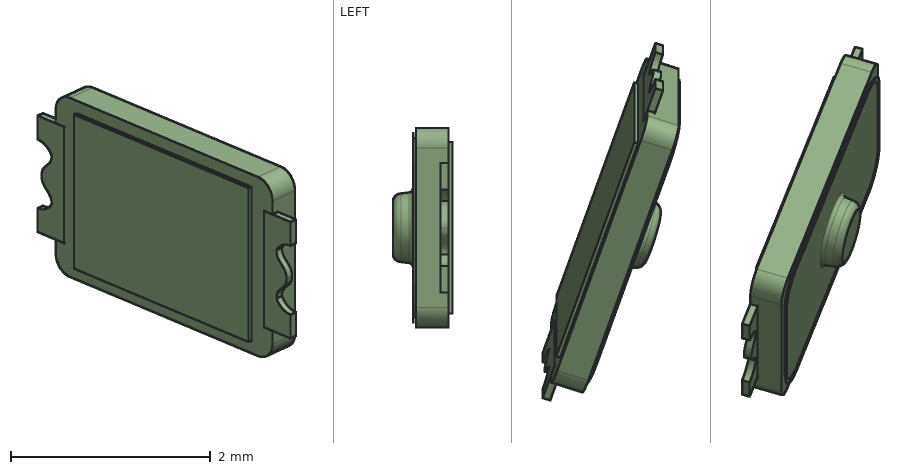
import cadquery as cq
import math

HOUSING_LENGTH = 3.0
HOUSING_HEIGHT = 2.0
HOUSING_DEPTH = 0.33
HOUSING_CORNER = 0.2

PLATE_LENGTH = 2.42
PLATE_HEIGHT = 1.72
PLATE_THICKNESS = 0.04

OVERALL_LENGTH = 3.5
TERMINAL_LENGTH = 0.37
TERMINAL_HEIGHT = 1.3
TERMINAL_THICKNESS = 0.08

NOTCH_OPENING_HEIGHT = 0.385
NOTCH_CURVE_DEPTH = 0.12
NOTCH_CURVE_HEIGHT = 0.35
NOTCH_DEPTH = 0.195
NOTCH_HEIGHT = 0.27
TONGUE_DEPTH = 0.055

COVER_THICKNESS = 0.03
FILM_THICKNESS = 0.005
SPACER_THICKNESS = COVER_THICKNESS - FILM_THICKNESS
SPACER_LENGTH = 2.8
SPACER_HEIGHT = 1.8
SPACER_CORNER = 0.3
FILM_OVERHANG = 0.05

BUTTON_HEIGHT = 0.2
BUTTON_FOOT_FILLET = 0.04
BUTTON_LOWER_RADIUS = 0.355
BUTTON_UPPER_RADIUS = 0.345
BUTTON_RIM_HEIGHT = 0.08
BUTTON_TOP_RADIUS = 0.28


def rounded_slab(length, height, corner, front, thickness):
    """Slab centred on the Y axis with rounded corners, reaching from `front` toward +Y."""
    slab = cq.Workplane("XZ", origin=(0, front, 0)).rect(length, height).extrude(-thickness)
    return slab.edges("|Y").fillet(corner)


def terminal_blank(side):
    """Plain terminal tab at the end given by `side`: -1 for -X, +1 for +X."""
    center_x = side * (OVERALL_LENGTH - TERMINAL_LENGTH) / 2
    blank = cq.Workplane("XZ", origin=(center_x, 0, 0)).rect(TERMINAL_LENGTH, TERMINAL_HEIGHT)
    return blank.extrude(-TERMINAL_THICKNESS)


def make_terminal(side):
    """Terminal tab with its outer edge scalloped into two notches and a tongue."""
    outer_x = side * OVERALL_LENGTH / 2

    def inward(depth):
        return outer_x - side * depth

    curve_x = inward(NOTCH_CURVE_DEPTH)
    notch_x = inward(NOTCH_DEPTH)
    upper_notch = (notch_x, NOTCH_HEIGHT)
    lower_notch = (notch_x, -NOTCH_HEIGHT)
    tongue_tip = (inward(TONGUE_DEPTH), 0)
    downward = (0, -1)
    scallop = (
        cq.Workplane("XZ")
        .moveTo(outer_x, NOTCH_OPENING_HEIGHT)
        .threePointArc((curve_x, NOTCH_CURVE_HEIGHT), upper_notch)
        .spline([upper_notch, tongue_tip], tangents=[downward, downward])
        .spline([tongue_tip, lower_notch], tangents=[downward, downward])
        .threePointArc((curve_x, -NOTCH_CURVE_HEIGHT), (outer_x, -NOTCH_OPENING_HEIGHT))
        .close()
        .extrude(-TERMINAL_THICKNESS)
    )
    return terminal_blank(side).cut(scallop)


def make_housing():
    """Rounded block with the front plate and a flush recess for each terminal."""
    block = rounded_slab(HOUSING_LENGTH, HOUSING_HEIGHT, HOUSING_CORNER, 0, HOUSING_DEPTH)
    plate = cq.Workplane("XZ").rect(PLATE_LENGTH, PLATE_HEIGHT).extrude(PLATE_THICKNESS)
    block = block.union(plate)
    for side in (-1, 1):
        block = block.cut(terminal_blank(side))
    return block


def make_button(base_y):
    """Button revolved about the Y axis, standing on the plane Y = `base_y`."""
    top_y = base_y + BUTTON_HEIGHT
    foot_radius = BUTTON_LOWER_RADIUS + BUTTON_FOOT_FILLET
    foot_top_y = base_y + BUTTON_FOOT_FILLET
    foot_arc_reach = BUTTON_FOOT_FILLET * math.sqrt(0.5)
    foot_arc_middle = (foot_radius - foot_arc_reach, foot_top_y - foot_arc_reach)
    return (
        cq.Workplane("ZY")
        .moveTo(0, base_y)
        .lineTo(foot_radius, base_y)
        .threePointArc(foot_arc_middle, (BUTTON_LOWER_RADIUS, foot_top_y))
        .lineTo(BUTTON_UPPER_RADIUS, top_y - BUTTON_RIM_HEIGHT)
        .tangentArcPoint((BUTTON_TOP_RADIUS, top_y), relative=False)
        .lineTo(0, top_y)
        .close()
        .revolve(360, (0, 0, 0), (0, 1, 0))
    )


def make_cover():
    """Spacer, overhanging film and button as one body on the back of the housing."""
    film_y = HOUSING_DEPTH + SPACER_THICKNESS
    spacer = rounded_slab(SPACER_LENGTH, SPACER_HEIGHT, SPACER_CORNER, HOUSING_DEPTH, SPACER_THICKNESS)
    film = rounded_slab(
        SPACER_LENGTH + 2 * FILM_OVERHANG,
        SPACER_HEIGHT + 2 * FILM_OVERHANG,
        SPACER_CORNER + FILM_OVERHANG,
        film_y,
        FILM_THICKNESS,
    )
    return spacer.union(film).union(make_button(film_y + FILM_THICKNESS))


housing = make_housing()
cover = make_cover()
terminals = [make_terminal(side) for side in (-1, 1)]

result = cq.Compound.makeCompound(
    [housing.val(), cover.val(), *[terminal.val() for terminal in terminals]]
)